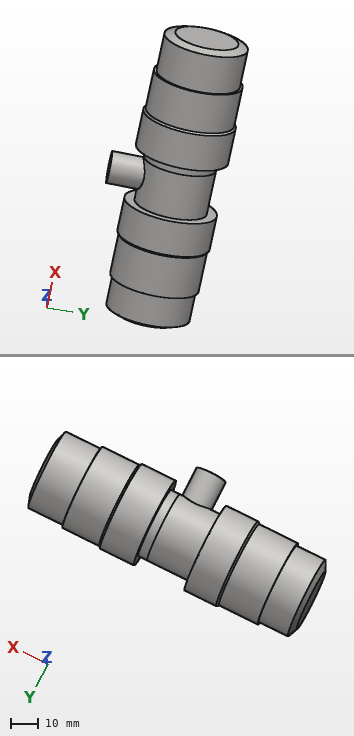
import cadquery as cq

total_length = 109.0
overall_width = 42.3
neck_radius = 13.5
collar_diameter = 34.5
collar_radius = collar_diameter / 2
sleeve_radius = 16.6
cap_radius = 15.6
face_radius = 11.8

left_bevel_length = 1.7
left_cap_end = 13.5
left_sleeve_end = 29.3
left_collar_end = 43.1

right_bevel_length = 1.3
right_collar_start = 63.8
right_sleeve_start = 78.3
right_cap_start = 93.3

collar_bevel_length = 0.8
neck_joint = 60.2

pin_radius = 6.0
pin_x = 53.4
pin_length = overall_width - collar_radius


def stepped_half(outer_face, bevel_end, cap_end, sleeve_end, collar_bevel_end, collar_end):
    """Revolve one half about X, from its outer end face to the joint in the neck."""
    profile = [
        (outer_face, 0),
        (outer_face, face_radius),
        (bevel_end, cap_radius),
        (cap_end, cap_radius),
        (cap_end, sleeve_radius),
        (sleeve_end, sleeve_radius),
        (collar_bevel_end, collar_radius),
        (collar_end, collar_radius),
        (collar_end, neck_radius),
        (neck_joint, neck_radius),
        (neck_joint, 0),
    ]
    return cq.Workplane("XY").polyline(profile).close().revolve(360, (0, 0, 0), (1, 0, 0))


pin = (
    cq.Workplane("XZ", origin=(pin_x, 0, 0))
    .circle(pin_radius)
    .extrude(pin_length)
)

left_half = stepped_half(
    outer_face=0,
    bevel_end=left_bevel_length,
    cap_end=left_cap_end,
    sleeve_end=left_sleeve_end,
    collar_bevel_end=left_sleeve_end + collar_bevel_length,
    collar_end=left_collar_end,
).cut(pin)

right_half = stepped_half(
    outer_face=total_length,
    bevel_end=total_length - right_bevel_length,
    cap_end=right_cap_start,
    sleeve_end=right_sleeve_start,
    collar_bevel_end=right_sleeve_start - collar_bevel_length,
    collar_end=right_collar_start,
)

result = cq.Compound.makeCompound([left_half.val(), right_half.val(), pin.val()])